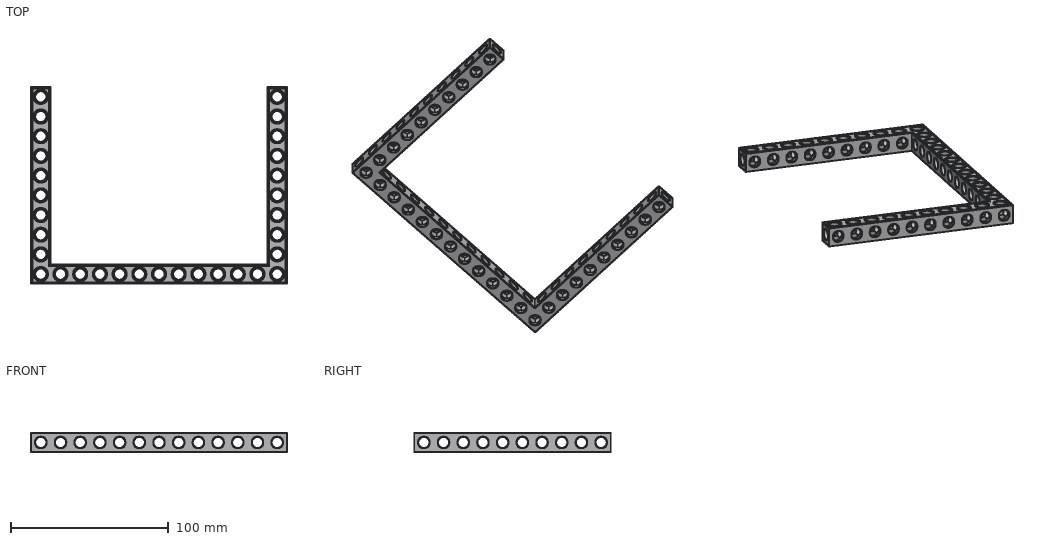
import cadquery as cq

length = 162.5
base_hole_count = 13
arm_hole_count = 10
hole_diameter = 7.0
chamfer = 0.31
land_width = 0.8
recess_depth = 0.2

pitch = length / base_hole_count
depth = pitch * arm_hole_count
half_pitch = pitch / 2
hole_radius = hole_diameter / 2
recess_inset = chamfer + land_width
collar_radius = hole_radius + recess_inset

base_places = [(i + 0.5) * pitch for i in range(base_hole_count)]
arm_places = [(j + 0.5) * pitch for j in range(arm_hole_count)]
corner_places = [base_places[0], base_places[-1]]
vertical_places = [(x, half_pitch) for x in base_places]
vertical_places += [(x, y) for x in corner_places for y in arm_places[1:]]


def u_plate(inset, bottom, top):
    """U-shaped plate, open towards +Y, with its whole outline moved inwards by inset."""
    outline = [
        (inset, inset),
        (length - inset, inset),
        (length - inset, depth - inset),
        (length - pitch + inset, depth - inset),
        (length - pitch + inset, pitch - inset),
        (pitch - inset, pitch - inset),
        (pitch - inset, depth - inset),
        (inset, depth - inset),
    ]
    return cq.Workplane("XY").workplane(offset=bottom).polyline(outline).close().extrude(top - bottom)


def make_frame():
    """Square-section U frame, chamfered all round except on the upright edges of its two inner corners."""
    horizontal_edges = "<Z or >Z"
    outer_upright_edges = "|Z and (<Y or >Y)"
    frame = u_plate(0, 0, pitch)
    return frame.edges(f"({horizontal_edges}) or ({outer_upright_edges})").chamfer(chamfer)


def make_top_recess():
    """Shallow recess in the top face that leaves a rim and a collar around each hole."""
    floor = pitch - recess_depth
    collars = (
        cq.Workplane("XY")
        .workplane(offset=floor)
        .pushPoints(vertical_places)
        .circle(collar_radius)
        .extrude(recess_depth)
    )
    return u_plate(recess_inset, floor, pitch).cut(collars)


def make_bore(span, start, direction):
    """Solid that cuts a round hole with a chamfer at both ends, from start along direction."""
    mouth_radius = hole_radius + chamfer
    profile = [
        (0, 0),
        (mouth_radius, 0),
        (hole_radius, chamfer),
        (hole_radius, span - chamfer),
        (mouth_radius, span),
        (0, span),
    ]
    side_direction = (0, 0, 1) if direction[2] == 0 else (1, 0, 0)
    axis = cq.Vector(*direction)
    across = axis.cross(cq.Vector(*side_direction))
    plane = cq.Plane(origin=start, xDir=across, normal=across.cross(axis))
    return cq.Workplane(plane).polyline(profile).close().revolve(360, (0, 0), (0, 1))


def make_bores():
    """All holes; those in line with a beam run along its full length."""
    along_x = (1, 0, 0)
    along_y = (0, 1, 0)
    along_z = (0, 0, 1)
    bores = [make_bore(pitch, (x, y, 0), along_z) for x, y in vertical_places]
    for x in base_places:
        span = depth if x in corner_places else pitch
        bores.append(make_bore(span, (x, 0, half_pitch), along_y))
    bores.append(make_bore(length, (0, half_pitch, half_pitch), along_x))
    for y in arm_places[1:]:
        for arm_side in (0, length - pitch):
            bores.append(make_bore(pitch, (arm_side, y, half_pitch), along_x))
    return bores


result = make_frame().cut(make_top_recess())
for bore in make_bores():
    result = result.cut(bore)